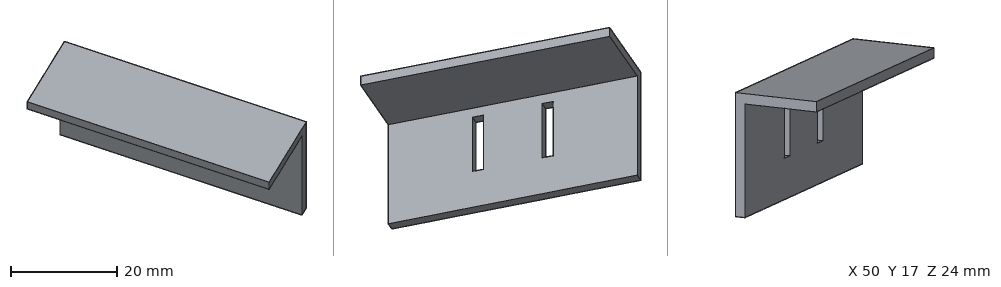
import cadquery as cq

length = 50.0
depth = 17.0
height = 24.0
thickness = 2.0

slot_width = 2.2
slot_height = 12.0
slot_spacing = 14.0
slot_top_gap = 4.0
slot_center_z = height - slot_top_gap - slot_height / 2


def make_angle():
    """L-shaped angle: upright leg at the back, flange along the top."""
    upright = cq.Workplane("XY").box(length, thickness, height, centered=(True, False, False))
    upright = upright.translate((0, depth - thickness, 0))
    flange = cq.Workplane("XY").box(length, depth, thickness, centered=(True, False, False))
    flange = flange.translate((0, 0, height - thickness))
    return upright.union(flange)


def make_slot(center_x):
    """Rectangular cutter passing through the upright leg."""
    cutter = cq.Workplane("XY").box(slot_width, thickness, slot_height)
    return cutter.translate((center_x, depth - thickness / 2, slot_center_z))


result = make_angle()
for side in (-1, 1):
    result = result.cut(make_slot(side * slot_spacing / 2))